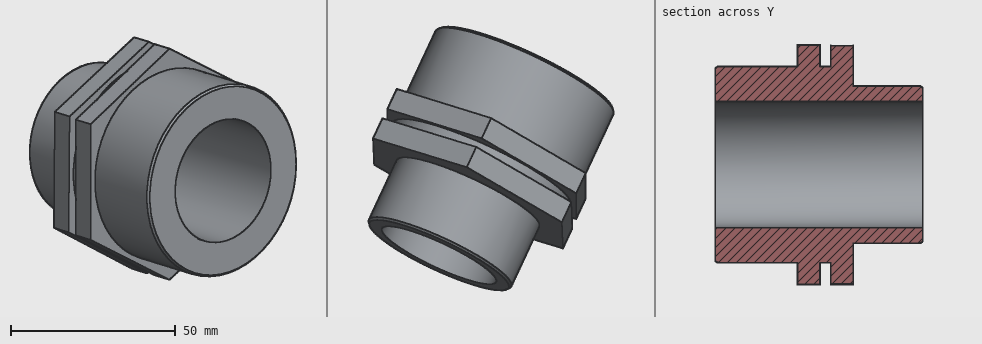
import cadquery as cq

total_length = 63.0
flange_thickness = 6.9
first_flange_start = 21.1
flange_gap = 3.1
second_flange_start = first_flange_start + flange_thickness + flange_gap

bore_diameter = 38.3
small_diameter = 47.8
large_diameter = 59.65
hex_across_corners = 72.75
first_flange_twist = -0.6

chamfer_length = 0.7
chamfer_depth = 0.6


def cylinder(start, length, diameter):
    """Solid cylinder along X."""
    return cq.Workplane("YZ", origin=(start, 0, 0)).circle(diameter / 2).extrude(length)


def hex_flange(start, twist):
    """Hexagonal flange with a corner at the top, turned about X by the twist angle."""
    flange = (
        cq.Workplane("YZ", origin=(start, 0, 0))
        .transformed(rotate=(0, 0, 90))
        .polygon(6, hex_across_corners)
        .extrude(flange_thickness)
    )
    return flange.rotate((0, 0, 0), (1, 0, 0), twist)


def stepped_body():
    """Small and large cylinders revolved as one profile, with chamfered ends."""
    small_radius = small_diameter / 2
    large_radius = large_diameter / 2
    return (
        cq.Workplane("XY")
        .moveTo(0, 0)
        .lineTo(0, small_radius - chamfer_depth)
        .lineTo(chamfer_length, small_radius)
        .lineTo(first_flange_start, small_radius)
        .lineTo(first_flange_start, large_radius)
        .lineTo(total_length - chamfer_length, large_radius)
        .lineTo(total_length, large_radius - chamfer_depth)
        .lineTo(total_length, 0)
        .close()
        .revolve(360, (0, 0, 0), (1, 0, 0))
    )


result = (
    stepped_body()
    .union(hex_flange(first_flange_start, first_flange_twist))
    .union(hex_flange(second_flange_start, 0))
    .cut(cylinder(0, total_length, bore_diameter))
)